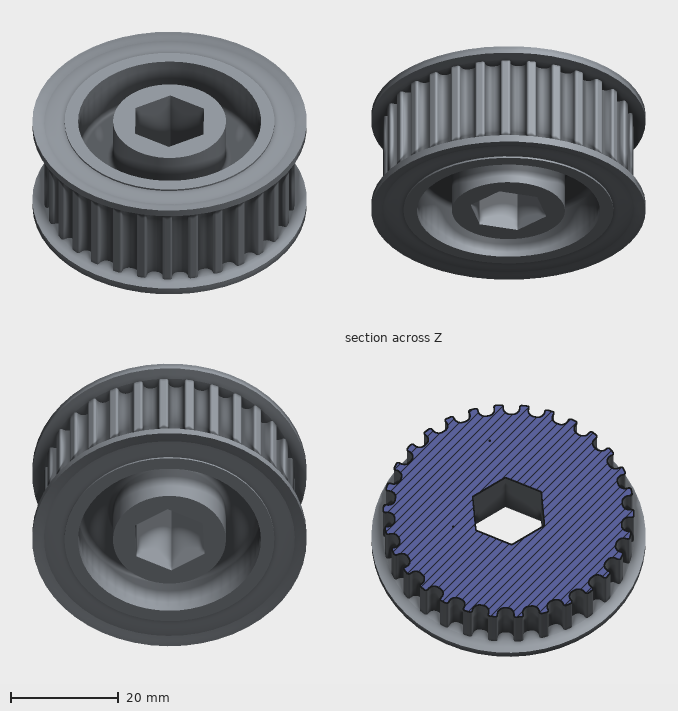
import cadquery as cq
import math


tooth_count = 30
belt_pitch = 5.0
pitch_line_offset = 0.57
belt_width = 17.0
groove_depth = 2.06
groove_half_width = 1.49
root_flat_half_width = 0.22
tooth_tip_radius = 0.43
cutter_overshoot = 1.0

total_height = 20.5
flange_radius = 25.5
flange_seat_radius = 19.5
flange_thickness = 1.4

recess_radius = 17.0
boss_radius = 10.5
web_thickness = 2.5
web_fillet = 1.0
hex_across_flats = 12.7

tooth_radius = tooth_count * belt_pitch / (2 * math.pi) - pitch_line_offset
tooth_angle = 360 / tooth_count
half_height = total_height / 2
half_belt = belt_width / 2
half_web = web_thickness / 2
hex_across_corners = hex_across_flats / math.cos(math.radians(30))


def make_blank():
    """Revolved body: each flange is flat over the teeth and bends outward beyond them."""
    flat_top = half_belt + flange_thickness
    rim_bottom = half_height - flange_thickness
    upper_half = (
        cq.Workplane("XZ")
        .lineTo(tooth_radius, 0)
        .lineTo(tooth_radius, half_belt)
        .lineTo(flange_radius, rim_bottom)
        .lineTo(flange_radius, half_height)
        .lineTo(tooth_radius, flat_top)
        .lineTo(flange_seat_radius, flat_top)
        .lineTo(flange_seat_radius, half_height)
        .lineTo(0, half_height)
        .close()
        .revolve(360, (0, 0, 0), (0, 1, 0))
    )
    return upper_half.union(upper_half.mirror("XY"))


def make_groove_cutter():
    """One belt groove on the +Y side, with rounded root corners and rounded tooth tips."""
    root_y = tooth_radius - groove_depth
    corner_radius = groove_half_width - root_flat_half_width
    corner_y = root_y + corner_radius
    corner_mid_x = root_flat_half_width + corner_radius * math.sin(math.radians(45))
    corner_mid_y = corner_y - corner_radius * math.cos(math.radians(45))

    tip_x = groove_half_width + tooth_tip_radius
    crown_tilt = math.asin(tip_x / (tooth_radius - tooth_tip_radius))
    tip_y = (tooth_radius - tooth_tip_radius) * math.cos(crown_tilt)
    crown_x = tooth_radius * math.sin(crown_tilt)
    crown_y = tooth_radius * math.cos(crown_tilt)
    mid_tilt = (crown_tilt - math.radians(90)) / 2
    tip_mid_x = tip_x + tooth_tip_radius * math.sin(mid_tilt)
    tip_mid_y = tip_y + tooth_tip_radius * math.cos(mid_tilt)
    outer_y = tooth_radius + cutter_overshoot

    return (
        cq.Workplane("XY")
        .workplane(offset=-half_belt)
        .moveTo(-root_flat_half_width, root_y)
        .lineTo(root_flat_half_width, root_y)
        .threePointArc((corner_mid_x, corner_mid_y), (groove_half_width, corner_y))
        .lineTo(groove_half_width, tip_y)
        .threePointArc((tip_mid_x, tip_mid_y), (crown_x, crown_y))
        .lineTo(crown_x, outer_y)
        .lineTo(-crown_x, outer_y)
        .lineTo(-crown_x, crown_y)
        .threePointArc((-tip_mid_x, tip_mid_y), (-groove_half_width, tip_y))
        .lineTo(-groove_half_width, corner_y)
        .threePointArc((-corner_mid_x, corner_mid_y), (-root_flat_half_width, root_y))
        .close()
        .extrude(belt_width)
    )


def make_recess_cutter():
    """Annular recess above the web, with its floor edges rounded."""
    return (
        cq.Workplane("XY")
        .workplane(offset=half_web)
        .circle(recess_radius)
        .circle(boss_radius)
        .extrude(half_height - half_web)
        .faces("<Z")
        .edges()
        .fillet(web_fillet)
    )


def cut_grooves(body):
    """Cut every belt groove, the first one on the +Y side."""
    cutter = make_groove_cutter()
    cutters = [cutter.rotate((0, 0, 0), (0, 0, 1), i * tooth_angle).val() for i in range(tooth_count)]
    return body.cut(cq.Workplane(obj=cq.Compound.makeCompound(cutters)))


def cut_recesses(body):
    """Cut the same recess into both ends, leaving the web between them."""
    cutter = make_recess_cutter()
    return body.cut(cutter).cut(cutter.mirror("XY"))


def cut_hex_bore(body):
    """Hexagonal through bore with two corners on the X axis."""
    bore = (
        cq.Workplane("XY")
        .workplane(offset=-half_height)
        .polygon(6, hex_across_corners)
        .extrude(total_height)
    )
    return body.cut(bore)


pulley = make_blank()
pulley = cut_grooves(pulley)
pulley = cut_recesses(pulley)
result = cut_hex_bore(pulley)